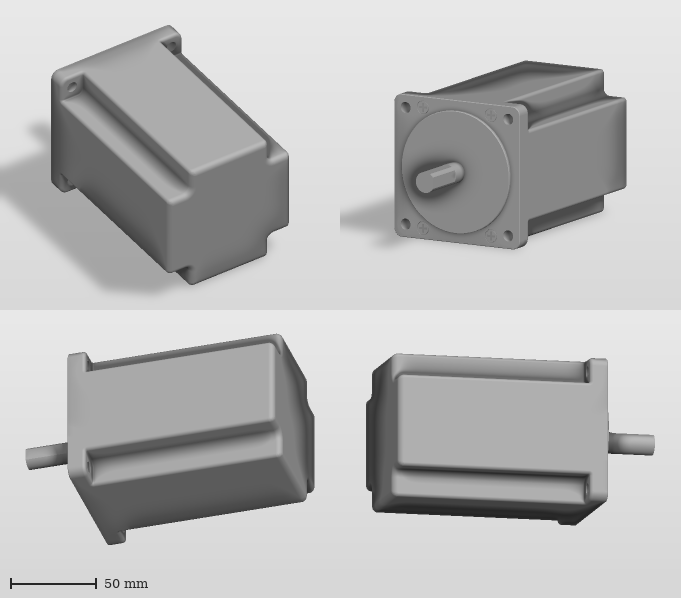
import cadquery as cq

total_length = 162.5
frame_width = 85.0
frame_half = frame_width / 2

shaft_length = 36.7
shaft_diameter = 12.5
flat_length = 25.0
flat_depth = 1.0

pilot_diameter = 73.1
pilot_height = 2.0
pilot_chamfer = 0.4

flange_thickness = 10.7
flange_corner_radius = 5.0
flange_front_chamfer = 0.4
mount_hole_spacing = 69.4
mount_hole_diameter = 6.7

body_length = total_length - shaft_length
arm_half_width = 27.1
notch_root_radius = 3.9
flange_root_radius = 0.8
arm_edge_radius = 2.0
rear_radius = 3.4

screw_spacing_y = 46.0
screw_spacing_z = 72.0
screw_hole_diameter = 8.1
screw_head_diameter = 7.3
screw_gap_depth = 0.5
cross_length = 5.4
cross_width = 1.3
cross_depth = 0.5


def plane_at(x):
    """YZ sketch plane at the given X; extrusions run toward +X."""
    return cq.Workplane("YZ", origin=(x, 0, 0))


def make_notch(side_y, side_z):
    """Cutter for one corner notch, rounded where it leaves internal fillets."""
    size = 2 * (frame_half - arm_half_width)
    centre = arm_half_width + size / 2
    toward_axis_y = "<Y" if side_y > 0 else ">Y"
    toward_axis_z = "<Z" if side_z > 0 else ">Z"

    notch = plane_at(flange_thickness).center(side_y * centre, side_z * centre)
    notch = notch.rect(size, size).extrude(body_length)
    root = notch.faces(toward_axis_y).edges("|X").edges(toward_axis_z)
    notch = root.fillet(notch_root_radius)
    wall_end = notch.faces(toward_axis_y).edges("<X")
    return wall_end.fillet(flange_root_radius)


def round_arm_edges(body):
    """Round the long edges of the housing arms.

    Each fillet follows the smooth chain of edges around the back of the flange
    to the matching edge on the neighbouring arm, so one starting edge per notch
    is enough. The starting edges lie on the +Z and -Z sides.
    """
    middle = (flange_thickness + body_length) / 2
    for y in (-arm_half_width, arm_half_width):
        for z in (-frame_half, frame_half):
            arm_edge = cq.selectors.NearestToPointSelector((middle, y, z))
            body = body.edges(arm_edge).fillet(arm_edge_radius)
    return body


def make_body():
    """Square flange and cross-shaped housing cut from one rounded square bar."""
    body = plane_at(0).rect(frame_width, frame_width).extrude(body_length)
    body = body.edges("|X").fillet(flange_corner_radius)
    for side_y in (-1, 1):
        for side_z in (-1, 1):
            body = body.cut(make_notch(side_y, side_z))
    body = round_arm_edges(body)
    body = body.faces(">X").edges().fillet(rear_radius)
    return body.faces("<X").edges().chamfer(flange_front_chamfer)


def make_pilot():
    pilot = plane_at(-pilot_height).circle(pilot_diameter / 2).extrude(pilot_height)
    return pilot.faces("<X").edges().chamfer(pilot_chamfer)


def make_shaft():
    """Round shaft with flats facing +Z and -Y near the free end."""
    radius = shaft_diameter / 2
    shaft = plane_at(-shaft_length).circle(radius).extrude(shaft_length)
    flat_centre = shaft_diameter - flat_depth
    flats = plane_at(-shaft_length).pushPoints([(0, flat_centre), (-flat_centre, 0)])
    return shaft.cut(flats.rect(shaft_diameter, shaft_diameter).extrude(flat_length))


def corner_points(spacing_y, spacing_z):
    """The four corners of a centred rectangle on the flange face."""
    return plane_at(0).rect(spacing_y, spacing_z, forConstruction=True).vertices()


def cut_mount_holes(body):
    holes = corner_points(mount_hole_spacing, mount_hole_spacing)
    return body.cut(holes.circle(mount_hole_diameter / 2).extrude(flange_thickness))


def cut_screw_details(body):
    """Ring gap around each flush screw head and the cross recess in the head."""
    centres = corner_points(screw_spacing_y, screw_spacing_z)
    gaps = centres.circle(screw_hole_diameter / 2).extrude(screw_gap_depth)
    gaps = gaps.cut(centres.circle(screw_head_diameter / 2).extrude(screw_gap_depth))
    slots_y = centres.rect(cross_length, cross_width).extrude(cross_depth)
    slots_z = centres.rect(cross_width, cross_length).extrude(cross_depth)
    return body.cut(gaps).cut(slots_y).cut(slots_z)


body = cut_screw_details(cut_mount_holes(make_body()))
result = body.union(make_pilot()).union(make_shaft())